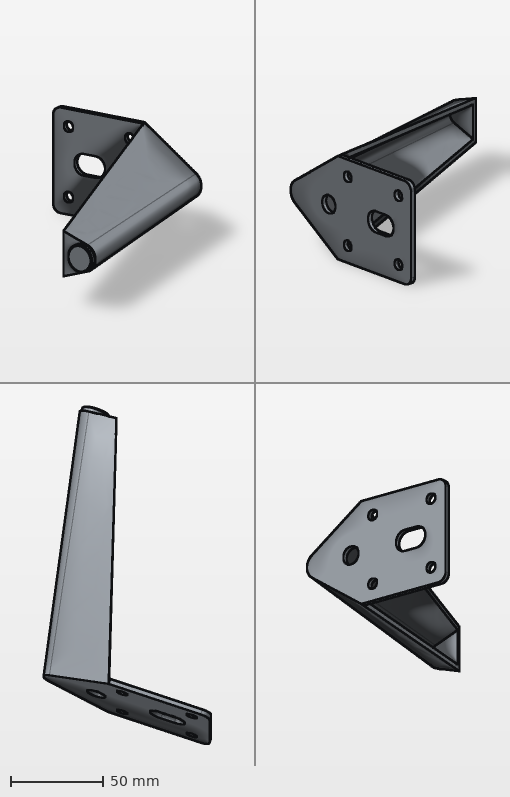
import cadquery as cq
import math

overall_length = 150.0
overall_width = 125.0
plate_height = 60.0
wall = 3.0
foot_height = 3.0
leg_length = overall_length - foot_height

root_open_x = 57.9
root_tip_x = 95.2
root_half_height = plate_height / 2
end_open_x = 103.8
end_tip_x = overall_width
end_half_height = 12.9
tip_radius = 8.0

corner_radius = 5.0
screw_diameter = 6.0
screw_edge_distance = 10.0
screw_spacing = 40.0
slot_x = 24.0
slot_length = 20.1
slot_height = 12.3
access_hole_x = 65.0
access_hole_diameter = 10.5

foot_radius = 7.8
foot_tip_gap = 0.8
foot_x = end_tip_x - foot_tip_gap - foot_radius
foot_chamfer = 0.6


def xz_plane(depth):
    """Plane at Y = -depth with local axes X and Z and its normal toward -Y."""
    return cq.Workplane("XZ", origin=(0, -depth, 0))


def leg_section(depth, inset):
    """V-shaped wire with a round tip; inset moves its sides and tip inward."""
    fraction = depth / leg_length
    open_x = root_open_x + fraction * (end_open_x - root_open_x)
    tip_x = root_tip_x + fraction * (end_tip_x - root_tip_x)
    half_height = root_half_height + fraction * (end_half_height - root_half_height)

    center_x = tip_x - tip_radius
    run = center_x - open_x
    corner_distance = math.hypot(run, half_height)
    slope_angle = math.atan2(half_height, run) - math.asin(tip_radius / corner_distance)
    open_z = half_height - inset / math.cos(slope_angle)
    radius = tip_radius - inset
    tangent_x = center_x + radius * math.sin(slope_angle)
    tangent_z = radius * math.cos(slope_angle)
    return (
        xz_plane(depth)
        .moveTo(open_x, -open_z)
        .lineTo(tangent_x, -tangent_z)
        .threePointArc((center_x + radius, 0), (tangent_x, tangent_z))
        .lineTo(open_x, open_z)
        .close()
    )


def leg_loft(start_depth, end_depth, inset):
    start = leg_section(start_depth, inset).val()
    end = leg_section(end_depth, inset).val()
    return cq.Workplane(cq.Solid.makeLoft([start, end], True))


def make_plate():
    plate = (
        xz_plane(0)
        .center(root_open_x / 2, 0)
        .rect(root_open_x, plate_height)
        .extrude(wall)
        .edges("|Y and <X")
        .fillet(corner_radius)
    )
    return plate.union(leg_section(0, 0).extrude(wall))


def make_hole_cutters():
    screw_x = screw_edge_distance + screw_spacing / 2
    screws = (
        xz_plane(0)
        .center(screw_x, 0)
        .rect(screw_spacing, screw_spacing, forConstruction=True)
        .vertices()
        .circle(screw_diameter / 2)
        .extrude(wall)
    )
    slot = xz_plane(0).center(slot_x, 0).slot2D(slot_length, slot_height).extrude(wall)
    access = xz_plane(0).center(access_hole_x, 0).circle(access_hole_diameter / 2).extrude(wall)
    return screws.union(slot).union(access)


def make_foot():
    return (
        xz_plane(leg_length)
        .center(foot_x, 0)
        .circle(foot_radius)
        .extrude(foot_height)
        .faces("<Y")
        .chamfer(foot_chamfer)
    )


leg = leg_loft(0, leg_length, 0)
cavity = leg_loft(wall, leg_length - wall, wall)
result = leg.cut(cavity).union(make_plate()).cut(make_hole_cutters()).union(make_foot())